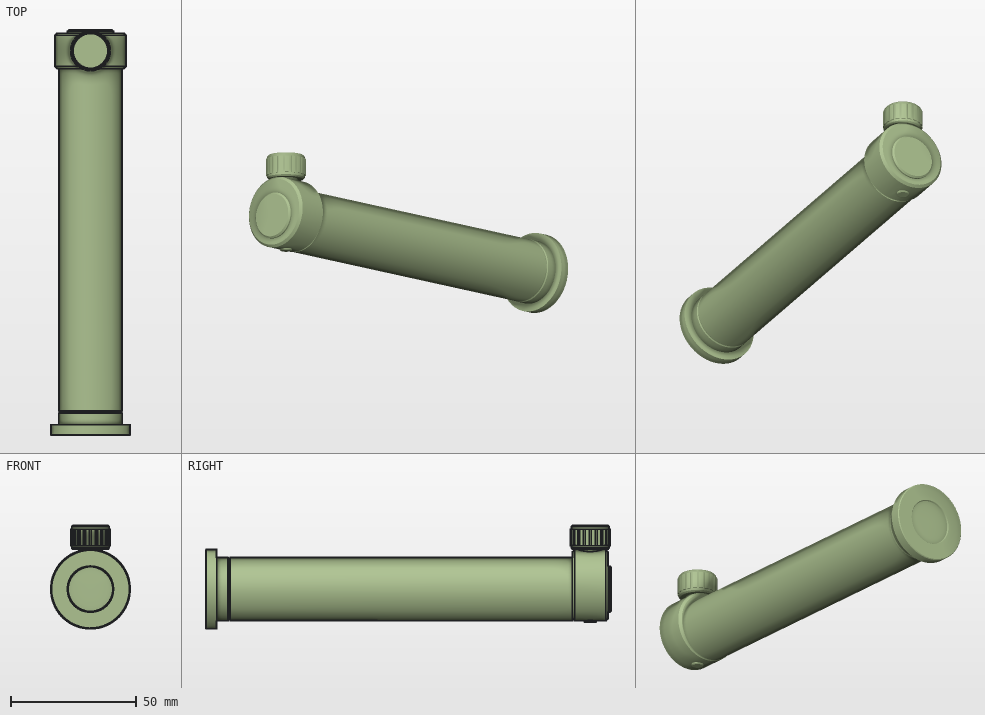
import cadquery as cq

TOTAL_LENGTH = 162.0
COLLAR_DIAMETER = 25.5
TUBE_DIAMETER = 25.3
FLANGE_DIAMETER = 31.7
FLANGE_THICKNESS = 4.4
FLANGE_CHAMFER = 0.3
COLLAR_LENGTH = 4.9
GROOVE_DIAMETER = 24.6
GROOVE_FLOOR_WIDTH = 0.3
RECESS_DIAMETER = 18.5
RECESS_DEPTH = 0.5
RECESS_FLOOR_DIAMETER = 17.8

HEAD_DIAMETER = 28.5
HEAD_LENGTH = 14.2
HEAD_CHAMFER = 1.0
CAP_DIAMETER = 18.5
CAP_HEIGHT = 1.3
CAP_CHAMFER = 0.6
HEAD_REAR = TOTAL_LENGTH - CAP_HEIGHT
HEAD_FRONT = HEAD_REAR - HEAD_LENGTH
HEAD_AXIS_Z = (HEAD_DIAMETER - COLLAR_DIAMETER) / 2

KNOB_Y = HEAD_FRONT + HEAD_LENGTH / 2
KNOB_DIAMETER = 15.0
OVERALL_HEIGHT = 41.3
KNOB_TOP = OVERALL_HEIGHT - FLANGE_DIAMETER / 2
KNOB_HEIGHT = 9.5
KNOB_BOTTOM = KNOB_TOP - KNOB_HEIGHT
KNOB_CHAMFER = 0.57
GRIP_DIAMETER = 15.9
GRIP_MARGIN = 1.5
GRIP_TOP = KNOB_TOP - GRIP_MARGIN
GRIP_BOTTOM = KNOB_BOTTOM + GRIP_MARGIN
FLUTE_COUNT = 20
FLUTE_WIDTH = 0.8
NECK_DIAMETER = 9.5
NECK_SEAT = 14.5
STEM_DIAMETER = 4.9
STEM_TIP = -13.3
STEM_TIP_CHAMFER = 0.3


def cylinder_along_y(diameter, start, length, axis_z=0):
    """Round bar parallel to Y that runs from start towards +Y."""
    plane = cq.Plane(origin=(0, start, axis_z), xDir=(1, 0, 0), normal=(0, 1, 0))
    return cq.Workplane(plane).circle(diameter / 2).extrude(length)


def cylinder_on_knob_axis(diameter, bottom, top):
    """Upright round bar on the knob axis between two heights."""
    base = cq.Workplane("XY", origin=(0, KNOB_Y, bottom))
    return base.circle(diameter / 2).extrude(top - bottom)


def make_stem(tip_chamfer=0):
    """Neck with the thinner stem below it."""
    neck = cylinder_on_knob_axis(NECK_DIAMETER, NECK_SEAT, KNOB_BOTTOM)
    stem = cylinder_on_knob_axis(STEM_DIAMETER, STEM_TIP, NECK_SEAT)
    if tip_chamfer:
        stem = stem.faces("<Z").chamfer(tip_chamfer)
    return neck.union(stem)


def make_recess():
    """Shallow dish whose wall tapers in towards the floor."""
    axis_origin = cq.Vector(0, 0, 0)
    axis_direction = cq.Vector(0, 1, 0)
    dish = cq.Solid.makeCone(
        RECESS_DIAMETER / 2, RECESS_FLOOR_DIAMETER / 2, RECESS_DEPTH, axis_origin, axis_direction
    )
    return cq.Workplane(dish)


def make_barrel():
    """Flange, collar, groove and long tube, with a shallow round recess in the front."""
    collar_end = FLANGE_THICKNESS + COLLAR_LENGTH
    tube_start = collar_end + GROOVE_FLOOR_WIDTH
    flange = cylinder_along_y(FLANGE_DIAMETER, 0, FLANGE_THICKNESS)
    flange = flange.faces("<Y").chamfer(FLANGE_CHAMFER)
    collar = cylinder_along_y(COLLAR_DIAMETER, FLANGE_THICKNESS, COLLAR_LENGTH)
    collar = collar.faces(">Y").chamfer((COLLAR_DIAMETER - GROOVE_DIAMETER) / 2)
    groove_floor = cylinder_along_y(GROOVE_DIAMETER, collar_end, GROOVE_FLOOR_WIDTH)
    tube = cylinder_along_y(TUBE_DIAMETER, tube_start, HEAD_FRONT - tube_start)
    tube = tube.faces("<Y").chamfer((TUBE_DIAMETER - GROOVE_DIAMETER) / 2)
    barrel = flange.union(collar).union(groove_floor).union(tube)
    return barrel.cut(make_recess())


def make_head():
    """Chamfered head with a low round cap on its rear face."""
    head = cylinder_along_y(HEAD_DIAMETER, HEAD_FRONT, HEAD_LENGTH, HEAD_AXIS_Z)
    head = head.faces("<Y or >Y").chamfer(HEAD_CHAMFER)
    cap = cylinder_along_y(CAP_DIAMETER, HEAD_REAR, CAP_HEIGHT)
    cap = cap.faces(">Y").chamfer(CAP_CHAMFER)
    return head.union(cap)


def make_housing():
    """Barrel and head in one piece, bored to take the neck and the stem."""
    return make_barrel().union(make_head()).cut(make_stem())


def make_knob():
    """Fluted knob with its neck and stem."""
    core = cylinder_on_knob_axis(KNOB_DIAMETER, KNOB_BOTTOM, KNOB_TOP)
    core = core.faces("<Z or >Z").chamfer(KNOB_CHAMFER)
    grip = cylinder_on_knob_axis(GRIP_DIAMETER, GRIP_BOTTOM, GRIP_TOP)
    flute_depth = (GRIP_DIAMETER - KNOB_DIAMETER) / 2
    flutes = (
        cq.Workplane("XY", origin=(0, KNOB_Y, GRIP_BOTTOM))
        .polarArray(GRIP_DIAMETER / 2, 0, 360, FLUTE_COUNT)
        .rect(2 * flute_depth, FLUTE_WIDTH)
        .extrude(GRIP_TOP - GRIP_BOTTOM)
    )
    return core.union(grip.cut(flutes)).union(make_stem(STEM_TIP_CHAMFER))


housing = make_housing()
knob = make_knob()

result = cq.Compound.makeCompound([housing.solids().val(), knob.solids().val()])